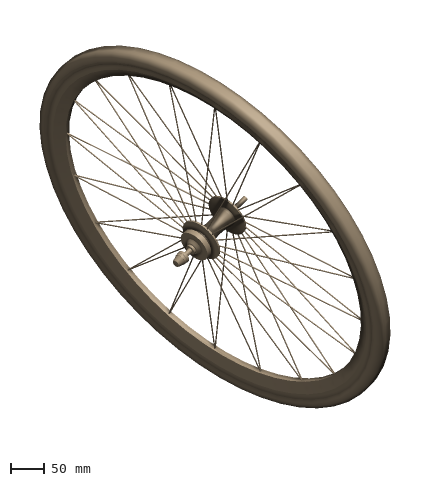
import cadquery as cq


WHEEL_RADIUS = 336.0
TREAD_HALF_WIDTH = 5.05
TYRE_HALF_WIDTH = 15.5
TYRE_INNER_RADIUS = 323.0
RIM_OUTER_RADIUS = 317.0
RIM_SHOULDER_RADIUS = 307.0
RIM_HALF_WIDTH = 13.0
RIM_INNER_RADIUS = 289.0
RIM_INNER_HALF_WIDTH = 4.4

HUB_CENTER_Y = -1.5
FLANGE_RADIUS = 35.5
FLANGE_THICKNESS = 3.0
FLANGE_OUTER_OFFSET = 32.0
BARREL_RADIUS = 16.0
WAIST_RADIUS = 13.0
BARREL_HALF_LENGTH = 25.0
BACK_COLLAR_END_Y = 33.5
CONE_LENGTH = 5.5
CONE_BASE_RADIUS = 14.0
CONE_TIP_RADIUS = 10.0
LOCKNUT_RADIUS = 8.0
LOCKNUT_LENGTH = 4.0

SPROCKET_SEAT_RADIUS = 18.0
SPROCKET_RADIUS = 26.0
SPROCKET_BACK_Y = -41.0
SPROCKET_FRONT_Y = -50.0

AXLE_RADIUS = 4.0
AXLE_BACK_Y = 72.5
KNOB_FRONT_Y = -93.5
KNOB_COLLAR_RADIUS = 10.0
KNOB_COLLAR_LENGTH = 5.0
KNOB_BODY_RADIUS = 9.5
KNOB_BODY_LENGTH = 5.0
KNOB_CONE_LENGTH = 10.0
KNOB_BASE_RADIUS = 9.0
KNOB_TIP_RADIUS = 6.0

RIM_POINTS = 20
SPOKE_RADIUS = 1.0
SPOKE_EMBED = 3.5


def revolve_about_y(profile):
    """Turn a closed (y, radius) profile sketched on the YZ plane about the Y axis."""
    return profile.close().revolve(360, (0, 0, 0), (1, 0, 0))


def frustum(y_start, y_end, start_radius, end_radius):
    profile = (
        cq.Workplane("YZ")
        .moveTo(y_start, 0)
        .lineTo(y_start, start_radius)
        .lineTo(y_end, end_radius)
        .lineTo(y_end, 0)
    )
    return revolve_about_y(profile)


def cylinder(y_start, y_end, radius):
    return frustum(y_start, y_end, radius, radius)


def tyre_and_rim():
    shoulder_width = TYRE_HALF_WIDTH - TREAD_HALF_WIDTH
    shoulder_drop = WHEEL_RADIUS - TYRE_INNER_RADIUS
    shoulder_radius = (shoulder_width**2 + shoulder_drop**2) / (2 * shoulder_drop)
    profile = (
        cq.Workplane("YZ")
        .moveTo(-TREAD_HALF_WIDTH, WHEEL_RADIUS)
        .lineTo(TREAD_HALF_WIDTH, WHEEL_RADIUS)
        .radiusArc((TYRE_HALF_WIDTH, TYRE_INNER_RADIUS), shoulder_radius)
        .lineTo(RIM_HALF_WIDTH, RIM_OUTER_RADIUS)
        .lineTo(RIM_HALF_WIDTH, RIM_SHOULDER_RADIUS)
        .lineTo(RIM_INNER_HALF_WIDTH, RIM_INNER_RADIUS)
        .lineTo(-RIM_INNER_HALF_WIDTH, RIM_INNER_RADIUS)
        .lineTo(-RIM_HALF_WIDTH, RIM_SHOULDER_RADIUS)
        .lineTo(-RIM_HALF_WIDTH, RIM_OUTER_RADIUS)
        .lineTo(-TYRE_HALF_WIDTH, TYRE_INNER_RADIUS)
        .radiusArc((-TREAD_HALF_WIDTH, WHEEL_RADIUS), shoulder_radius)
    )
    return revolve_about_y(profile)


def barrel():
    """Hub shell between the flange collars, curving in to a waist at the middle."""
    y_front = HUB_CENTER_Y - BARREL_HALF_LENGTH
    y_back = HUB_CENTER_Y + BARREL_HALF_LENGTH
    profile = (
        cq.Workplane("YZ")
        .moveTo(y_front, 0)
        .lineTo(y_front, BARREL_RADIUS)
        .threePointArc((HUB_CENTER_Y, WAIST_RADIUS), (y_back, BARREL_RADIUS))
        .lineTo(y_back, 0)
    )
    return revolve_about_y(profile)


def flange_with_collar(side):
    y_collar = HUB_CENTER_Y + side * BARREL_HALF_LENGTH
    y_outer = HUB_CENTER_Y + side * FLANGE_OUTER_OFFSET
    y_inner = y_outer - side * FLANGE_THICKNESS
    collar = cylinder(y_collar, y_outer, BARREL_RADIUS)
    return collar.union(cylinder(y_inner, y_outer, FLANGE_RADIUS))


def end_cone_and_locknut(y_start, side):
    y_tip = y_start + side * CONE_LENGTH
    cone = frustum(y_start, y_tip, CONE_BASE_RADIUS, CONE_TIP_RADIUS)
    return cone.union(cylinder(y_tip, y_tip + side * LOCKNUT_LENGTH, LOCKNUT_RADIUS))


def hub():
    y_back_flange = HUB_CENTER_Y + FLANGE_OUTER_OFFSET
    y_front_flange = HUB_CENTER_Y - FLANGE_OUTER_OFFSET
    body = barrel().union(flange_with_collar(1)).union(flange_with_collar(-1))
    body = body.union(cylinder(y_back_flange, BACK_COLLAR_END_Y, BARREL_RADIUS))
    body = body.union(cylinder(SPROCKET_BACK_Y, y_front_flange, SPROCKET_SEAT_RADIUS))
    body = body.union(cylinder(SPROCKET_FRONT_Y, SPROCKET_BACK_Y, SPROCKET_RADIUS))
    body = body.union(end_cone_and_locknut(BACK_COLLAR_END_Y, 1))
    return body.union(end_cone_and_locknut(SPROCKET_FRONT_Y, -1))


def axle_and_knob():
    y_cone = KNOB_FRONT_Y + KNOB_CONE_LENGTH
    axle = cylinder(y_cone, AXLE_BACK_Y, AXLE_RADIUS)
    y_collar = y_cone + KNOB_BODY_LENGTH
    body = cylinder(y_cone, y_collar, KNOB_BODY_RADIUS)
    collar = cylinder(y_collar, y_collar + KNOB_COLLAR_LENGTH, KNOB_COLLAR_RADIUS)
    tip = frustum(KNOB_FRONT_Y, y_cone, KNOB_TIP_RADIUS, KNOB_BASE_RADIUS)
    return axle.union(collar).union(body).union(tip)


def spoke(side):
    """Upright spoke from a flange rim to the middle of the rim's inner face."""
    y_flange = HUB_CENTER_Y + side * (FLANGE_OUTER_OFFSET - FLANGE_THICKNESS / 2)
    start = cq.Vector(0, y_flange, FLANGE_RADIUS - SPOKE_EMBED)
    end = cq.Vector(0, 0, RIM_INNER_RADIUS + SPOKE_EMBED)
    run = end - start
    return cq.Solid.makeCylinder(SPOKE_RADIUS, run.Length, start, run)


def spokes():
    solids = []
    for side in (1, -1):
        upright = spoke(side)
        for i in range(RIM_POINTS):
            solids.append(upright.rotate(cq.Vector(0, 0, 0), cq.Vector(0, 1, 0), i * 360 / RIM_POINTS))
    return solids


wheel = tyre_and_rim().union(hub()).union(axle_and_knob())
result = cq.Workplane(wheel.val().fuse(*spokes()))